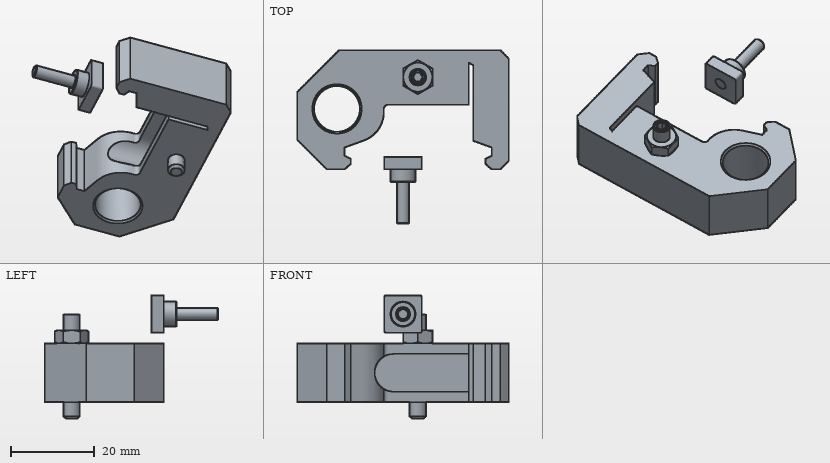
import cadquery as cq
import math


HEXAGON_HALF_SIDE_ANGLE = 30.0

CLAMP_LENGTH = 50.5
CLAMP_DEPTH = 28.5
CLAMP_HEIGHT = 14.0
LEFT_X = -CLAMP_LENGTH / 2
RIGHT_X = CLAMP_LENGTH / 2
FRONT_Y = -CLAMP_DEPTH
BACK_LEFT_CHAMFER = 10.0
FRONT_LEFT_CHAMFER = 7.05
RIGHT_CHAMFER = 2.0
WEB_FRONT_Y = -13.1

LEFT_HOOK_X = -13.95
RIGHT_HOOK_X = 21.15
HOOK_REACH = 1.5
HOOK_TIP_FRONT = 1.3
HOOK_TIP_BACK = 2.5
HOOK_NOTCH_FRONT = 3.3
HOOK_NOTCH_BACK = 5.2
RAMP_ANGLE = 20.0

FLANK_X = -4.55
FLANK_RADIUS = 7.3
FLANK_FILLET = 1.0

SLIT_LEFT_X = 15.7
SLIT_WIDTH = 1.05
SLIT_RIGHT_X = SLIT_LEFT_X + SLIT_WIDTH
SLIT_LEFT_END_Y = -3.1
SLIT_RIGHT_END_Y = -3.65

BORE_X = -15.75
BORE_Y = -14.05
BORE_DIAMETER = 10.9
BORE_CHAMFER = 0.45

SLIDER_WIDTH = 9.0
SLIDER_THICKNESS = 3.0
SLIDER_CORNER_RADIUS = 0.5
SLIDER_BACK_Y = -25.5
SLIDER_Z = 21.0
COLLAR_DIAMETER = 6.0
COLLAR_LENGTH = 3.05
COLLAR_CHAMFER = 0.15
COUNTERSINK_DIAMETER = 3.4
COUNTERSINK_ANGLE = 90.0
CHANNEL_DEPTH = 3.6
CHANNEL_END_X = -6.75

STUD_DIAMETER = 3.0
STUD_LENGTH = 16.0
STUD_CHAMFER = 0.3

SCREW_X = 3.55
SCREW_Y = -6.45
SCREW_DIAMETER = 4.0
SCREW_LENGTH = 25.0
SCREW_BOTTOM_Z = -4.0
SCREW_TOP_DIAMETER = 3.25
SCREW_TOP_BEVEL = 0.2
SCREW_POINT_CHAMFER = 0.65
SOCKET_WIDTH = 2.0
SOCKET_DEPTH = 2.5
SOCKET_MOUTH_DIAMETER = 2.4
NUT_WIDTH = 7.0
NUT_HEIGHT = 3.2
NUT_FACE_DIAMETER = 6.9
NUT_BEVEL_ANGLE = 30.0


def hook_points(corner_x, inward):
    """Hook profile from the front edge back to the foot of its ramp."""
    tip_x = corner_x + inward * HOOK_REACH
    return [
        (corner_x, FRONT_Y),
        (tip_x, FRONT_Y + HOOK_TIP_FRONT),
        (tip_x, FRONT_Y + HOOK_TIP_BACK),
        (corner_x, FRONT_Y + HOOK_NOTCH_FRONT),
        (corner_x, FRONT_Y + HOOK_NOTCH_BACK),
    ]


def clamp_blank():
    """Extruded clamp profile, before its bore, channel and screw hole."""
    ramp = math.radians(RAMP_ANGLE)
    ramp_foot_y = FRONT_Y + HOOK_NOTCH_BACK
    arm_ramp_y = ramp_foot_y + (RIGHT_HOOK_X - SLIT_RIGHT_X) * math.tan(ramp)

    arc_x = FLANK_X - FLANK_RADIUS
    arc_start_x = arc_x + FLANK_RADIUS * math.sin(ramp)
    arc_start_y = ramp_foot_y + (arc_start_x - LEFT_HOOK_X) * math.tan(ramp)
    arc_y = arc_start_y + FLANK_RADIUS * math.cos(ramp)

    fillet_y = WEB_FRONT_Y - FLANK_FILLET
    touch_angle = math.asin((fillet_y - arc_y) / (FLANK_RADIUS + FLANK_FILLET))
    fillet_x = arc_x + (FLANK_RADIUS + FLANK_FILLET) * math.cos(touch_angle)
    touch = (arc_x + FLANK_RADIUS * math.cos(touch_angle), arc_y + FLANK_RADIUS * math.sin(touch_angle))
    mid_angle = (ramp - math.pi / 2 + touch_angle) / 2
    arc_mid = (arc_x + FLANK_RADIUS * math.cos(mid_angle), arc_y + FLANK_RADIUS * math.sin(mid_angle))

    profile = (
        cq.Workplane("XY")
        .moveTo(LEFT_X + BACK_LEFT_CHAMFER, 0)
        .lineTo(LEFT_X, -BACK_LEFT_CHAMFER)
        .lineTo(LEFT_X, FRONT_Y + FRONT_LEFT_CHAMFER)
        .lineTo(LEFT_X + FRONT_LEFT_CHAMFER, FRONT_Y)
    )
    for point in hook_points(LEFT_HOOK_X, 1):
        profile = profile.lineTo(*point)
    profile = (
        profile.lineTo(arc_start_x, arc_start_y)
        .threePointArc(arc_mid, touch)
        .radiusArc((fillet_x, WEB_FRONT_Y), FLANK_FILLET)
        .lineTo(SLIT_LEFT_X, WEB_FRONT_Y)
        .lineTo(SLIT_LEFT_X, SLIT_LEFT_END_Y)
        .lineTo(SLIT_RIGHT_X, SLIT_RIGHT_END_Y)
        .lineTo(SLIT_RIGHT_X, arm_ramp_y)
    )
    for point in reversed(hook_points(RIGHT_HOOK_X, -1)):
        profile = profile.lineTo(*point)
    return (
        profile.lineTo(RIGHT_X - RIGHT_CHAMFER, FRONT_Y)
        .lineTo(RIGHT_X, FRONT_Y + RIGHT_CHAMFER)
        .lineTo(RIGHT_X, -RIGHT_CHAMFER)
        .lineTo(RIGHT_X - RIGHT_CHAMFER, 0)
        .close()
        .extrude(CLAMP_HEIGHT)
    )


def rod_bore():
    """Cutter for the rod bore, widened by a chamfer at both mouths."""
    radius = BORE_DIAMETER / 2
    mouth = radius + BORE_CHAMFER
    return (
        cq.Workplane("XZ")
        .moveTo(0, 0)
        .lineTo(mouth, 0)
        .lineTo(radius, BORE_CHAMFER)
        .lineTo(radius, CLAMP_HEIGHT - BORE_CHAMFER)
        .lineTo(mouth, CLAMP_HEIGHT)
        .lineTo(0, CLAMP_HEIGHT)
        .close()
        .revolve(360, (0, 0, 0), (0, 1, 0))
        .translate((BORE_X, BORE_Y, 0))
    )


def slider_channel():
    """Cutter for the round-ended channel, open at the slit and towards the front."""
    radius = SLIDER_WIDTH / 2
    middle_z = CLAMP_HEIGHT / 2
    round_x = CHANNEL_END_X + radius
    floor_y = WEB_FRONT_Y + CHANNEL_DEPTH
    return (
        cq.Workplane("XZ", origin=(0, floor_y, 0))
        .moveTo(SLIT_LEFT_X, middle_z + radius)
        .lineTo(round_x, middle_z + radius)
        .threePointArc((CHANNEL_END_X, middle_z), (round_x, middle_z - radius))
        .lineTo(SLIT_LEFT_X, middle_z - radius)
        .close()
        .extrude(floor_y - FRONT_Y)
    )


def make_clamp():
    screw_hole = cq.Workplane("XY").center(SCREW_X, SCREW_Y).circle(SCREW_DIAMETER / 2).extrude(CLAMP_HEIGHT)
    return clamp_blank().cut(rod_bore()).cut(slider_channel()).cut(screw_hole)


def make_slider():
    """Square sliding nut with a round collar and a countersunk hole through both."""
    back_plane = cq.Workplane("XZ", origin=(0, SLIDER_BACK_Y, SLIDER_Z))
    plate = back_plane.rect(SLIDER_WIDTH, SLIDER_WIDTH).extrude(SLIDER_THICKNESS)
    plate = plate.edges("|Y").fillet(SLIDER_CORNER_RADIUS)
    collar = back_plane.circle(COLLAR_DIAMETER / 2).extrude(SLIDER_THICKNESS + COLLAR_LENGTH)
    collar = collar.faces("<Y").chamfer(COLLAR_CHAMFER)
    return (
        plate.union(collar)
        .faces("<Y")
        .workplane(centerOption="CenterOfMass")
        .cskHole(STUD_DIAMETER, COUNTERSINK_DIAMETER, COUNTERSINK_ANGLE)
    )


def make_stud():
    """Plain stud, flush with the back of the sliding nut."""
    back_plane = cq.Workplane("XZ", origin=(0, SLIDER_BACK_Y, SLIDER_Z))
    stud = back_plane.circle(STUD_DIAMETER / 2).extrude(STUD_LENGTH)
    return stud.faces("<Y").chamfer(STUD_CHAMFER)


def make_set_screw():
    """Headless screw with a countersunk hexagon socket on top and a chamfered point."""
    top_inset = (SCREW_DIAMETER - SCREW_TOP_DIAMETER) / 2
    socket_corners = SOCKET_WIDTH / math.cos(math.radians(HEXAGON_HALF_SIDE_ANGLE))
    screw = cq.Workplane("XY").circle(SCREW_DIAMETER / 2).extrude(SCREW_LENGTH)
    screw = screw.faces("<Z").chamfer(SCREW_POINT_CHAMFER)
    top_bevel = (
        cq.Workplane("XZ")
        .moveTo(SCREW_DIAMETER / 2, SCREW_LENGTH)
        .lineTo(SCREW_DIAMETER / 2 - top_inset, SCREW_LENGTH)
        .lineTo(SCREW_DIAMETER / 2, SCREW_LENGTH - SCREW_TOP_BEVEL)
        .close()
        .revolve(360, (0, 0, 0), (0, 1, 0))
    )
    socket = (
        cq.Workplane("XY", origin=(0, 0, SCREW_LENGTH - SOCKET_DEPTH))
        .polygon(6, socket_corners)
        .extrude(SOCKET_DEPTH)
    )
    mouth_depth = SOCKET_MOUTH_DIAMETER / 2
    mouth_tip = cq.Vector(0, 0, SCREW_LENGTH - mouth_depth)
    socket_mouth = cq.Workplane(cq.Solid.makeCone(0, SOCKET_MOUTH_DIAMETER / 2, mouth_depth, mouth_tip))
    return screw.cut(top_bevel).cut(socket).cut(socket_mouth).translate((SCREW_X, SCREW_Y, SCREW_BOTTOM_Z))


def make_lock_nut():
    """Hexagon nut standing on the clamp, corners bevelled at both ends."""
    corners = NUT_WIDTH / math.cos(math.radians(HEXAGON_HALF_SIDE_ANGLE))
    face_radius = NUT_FACE_DIAMETER / 2
    bevel_height = (corners / 2 - face_radius) * math.tan(math.radians(NUT_BEVEL_ANGLE))
    hexagon = cq.Workplane("XY").polygon(6, corners).extrude(NUT_HEIGHT)
    hexagon = hexagon.rotate((0, 0, 0), (0, 0, 1), HEXAGON_HALF_SIDE_ANGLE)
    bevelled_envelope = (
        cq.Workplane("XZ")
        .moveTo(0, 0)
        .lineTo(face_radius, 0)
        .lineTo(corners / 2, bevel_height)
        .lineTo(corners / 2, NUT_HEIGHT - bevel_height)
        .lineTo(face_radius, NUT_HEIGHT)
        .lineTo(0, NUT_HEIGHT)
        .close()
        .revolve(360, (0, 0, 0), (0, 1, 0))
    )
    thread_hole = cq.Workplane("XY").circle(SCREW_DIAMETER / 2).extrude(NUT_HEIGHT)
    nut = hexagon.intersect(bevelled_envelope).cut(thread_hole)
    return nut.translate((SCREW_X, SCREW_Y, CLAMP_HEIGHT))


clamp = make_clamp()
slider = make_slider()
stud = make_stud()
set_screw = make_set_screw()
lock_nut = make_lock_nut()

result = cq.Compound.makeCompound(
    [clamp.val(), slider.val(), stud.val(), set_screw.val(), lock_nut.val()]
)